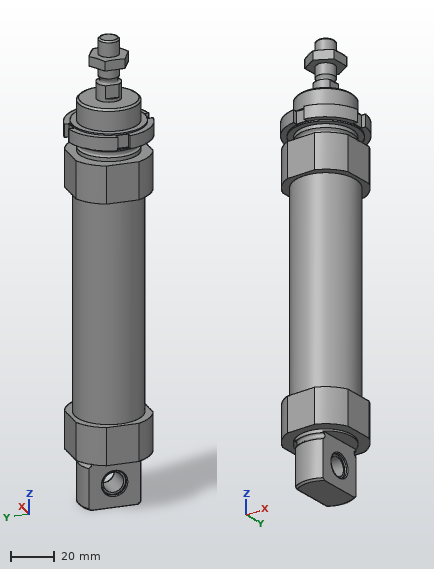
import cadquery as cq
import math


total_height = 231.5
tang_length = 26.0
cap_height = 19.0
barrel_length = 111.5
neck_length = 26.0
rod_exposed = total_height - tang_length - 2 * cap_height - barrel_length - neck_length

lower_cap_bottom = tang_length
barrel_bottom = lower_cap_bottom + cap_height
upper_cap_bottom = barrel_bottom + barrel_length
neck_bottom = upper_cap_bottom + cap_height
neck_top = neck_bottom + neck_length

barrel_diameter = 33.6
cap_across_flats = 38.0
cap_corner_diameter = 41.2

neck_diameter = 30.0
neck_end_diameter = 28.0
relief_diameter = 27.7
relief_slope = 45.0
relief_start = 1.9
relief_end = 5.0
neck_chamfer = (neck_diameter - neck_end_diameter) / 2
relief_fillet = 0.8

tang_thickness = 16.0
tang_flat_length = 25.0
pin_hole_diameter = 10.0
pin_hole_height = 12.0
pin_mouth_diameter = 13.0
pin_recess_diameter = 12.0
pin_recess_depth = 1.5

rod_diameter = 12.0
rod_flats_across = 10.0
rod_flats_height = 6.5
rod_shank_length = 8.1
stud_diameter = 10.0
stud_end_diameter = 8.4
stud_chamfer = (stud_diameter - stud_end_diameter) / 2
stud_relief_diameter = 8.4
stud_relief_slope = 25.0
stud_relief_length = 3.15
stud_relief_fillet = 0.6

hex_across_flats = 17.0
hex_height = 5.0
hex_bevel_angle = 12.0
stud_above_hex = 8.0
hex_bottom = total_height - stud_above_hex - hex_height
hex_across_corners = hex_across_flats / math.cos(math.pi / 6)

ring_diameter = 42.0
ring_hub_diameter = 36.0
ring_height = 8.0
neck_above_ring = 11.0
ring_bottom = neck_top - neck_above_ring - ring_height
ring_step = 0.7
slot_width = 6.0
slot_floor_radius = 18.5
slot_count = 4
slot_pitch_angle = 360 / slot_count


def revolve_profile(points):
    """Revolve a closed (radius, height) outline about the Z axis."""
    return cq.Workplane("XZ").polyline(points).close().revolve(360, (0, 0, 0), (0, 1, 0))


def make_relief(outer_diameter, floor_diameter, length, fillet, slope_angle):
    """Ring to cut away for a thread relief: square filleted shoulder at Z = 0, sloped filleted run-out."""
    slope = math.radians(slope_angle)
    outer = outer_diameter / 2
    floor = floor_diameter / 2
    slope_rise = fillet * (1 - math.cos(slope))
    slope_run = fillet * math.sin(slope)
    floor_end = length - (outer - floor - slope_rise) / math.tan(slope) - slope_run
    corner_offset = fillet * (1 - math.cos(math.pi / 4))
    return (
        cq.Workplane("XZ")
        .moveTo(outer, 0)
        .lineTo(floor + fillet, 0)
        .threePointArc((floor + corner_offset, corner_offset), (floor, fillet))
        .lineTo(floor, floor_end)
        .threePointArc(
            (floor + fillet * (1 - math.cos(slope / 2)), floor_end + fillet * math.sin(slope / 2)),
            (floor + slope_rise, floor_end + slope_run),
        )
        .lineTo(outer, length)
        .close()
        .revolve(360, (0, 0, 0), (0, 1, 0))
    )


def make_neck(length):
    """Threaded neck standing on Z = 0, with a relief groove at its foot and a chamfered end."""
    neck = cq.Workplane("XY").circle(neck_diameter / 2).extrude(length).faces(">Z").chamfer(neck_chamfer)
    relief_length = relief_end - relief_start
    relief = make_relief(neck_diameter, relief_diameter, relief_length, relief_fillet, relief_slope)
    return neck.cut(relief.translate((0, 0, relief_start)))


def make_cap(bottom):
    """Square cap with its corners turned round."""
    square = cq.Workplane("XY").rect(cap_across_flats, cap_across_flats).extrude(cap_height)
    turned = cq.Workplane("XY").circle(cap_corner_diameter / 2).extrude(cap_height)
    return square.intersect(turned).translate((0, 0, bottom))


def make_tang():
    """Lower neck with two flats and a cross hole along X that is recessed at both mouths."""
    tang = make_neck(tang_length).rotate((0, 0, 0), (1, 0, 0), 180).translate((0, 0, tang_length))
    for side in (-1, 1):
        waste = cq.Workplane("XY").box(neck_diameter, neck_diameter, tang_flat_length, (True, True, False))
        tang = tang.cut(waste.translate((side * (tang_thickness + neck_diameter) / 2, 0, 0)))
    hole = cq.Workplane("YZ").center(0, pin_hole_height)
    tang = tang.cut(hole.circle(pin_hole_diameter / 2).extrude(tang_thickness, both=True))
    face = tang_thickness / 2
    recess_radius = pin_recess_diameter / 2
    recess_chamfer = (pin_mouth_diameter - pin_recess_diameter) / 2
    recess_outline = [
        (face - pin_recess_depth, 0),
        (face - pin_recess_depth, recess_radius),
        (face - recess_chamfer, recess_radius),
        (face, pin_mouth_diameter / 2),
        (face, 0),
    ]
    recess = cq.Workplane("XY").polyline(recess_outline).close().revolve(360, (0, 0, 0), (1, 0, 0))
    for side_recess in (recess, recess.mirror("YZ")):
        tang = tang.cut(side_recess.translate((0, 0, pin_hole_height)))
    return tang


def make_housing():
    """Tang, two caps, barrel and upper neck as one body."""
    barrel = cq.Workplane("XY").circle(barrel_diameter / 2).extrude(barrel_length)
    barrel = barrel.translate((0, 0, barrel_bottom))
    housing = make_tang().union(make_cap(lower_cap_bottom)).union(barrel)
    housing = housing.union(make_cap(upper_cap_bottom))
    return housing.union(make_neck(neck_length).translate((0, 0, neck_bottom)))


def make_rod():
    """Piston rod with wrench flats across X and a threaded stud on top."""
    rod = cq.Workplane("XY").circle(rod_diameter / 2).extrude(rod_shank_length)
    stud = cq.Workplane("XY").circle(stud_diameter / 2).extrude(rod_exposed - rod_shank_length)
    stud = stud.faces(">Z").chamfer(stud_chamfer)
    relief = make_relief(
        stud_diameter, stud_relief_diameter, stud_relief_length, stud_relief_fillet, stud_relief_slope
    )
    stud = stud.cut(relief)
    rod = rod.union(stud.translate((0, 0, rod_shank_length)))
    for side in (-1, 1):
        waste = cq.Workplane("XY").box(rod_diameter, rod_diameter, rod_flats_height, (True, True, False))
        flat_offset = side * (rod_flats_across + rod_diameter) / 2
        rod = rod.cut(waste.translate((flat_offset, 0, rod_shank_length - rod_flats_height)))
    return rod.translate((0, 0, neck_top))


def make_hex_nut():
    """Hexagonal nut on the stud, with two flats facing X and the corners bevelled at the top."""
    face_radius = hex_across_flats / 2
    corner_radius = hex_across_corners / 2
    bevel = (corner_radius - face_radius) * math.tan(math.radians(hex_bevel_angle))
    prism = cq.Workplane("XY").polygon(6, hex_across_corners).extrude(hex_height)
    prism = prism.rotate((0, 0, 0), (0, 0, 1), 30)
    turned = revolve_profile([
        (stud_diameter / 2, 0),
        (corner_radius, 0),
        (corner_radius, hex_height - bevel),
        (face_radius, hex_height),
        (stud_diameter / 2, hex_height),
    ])
    return prism.intersect(turned).translate((0, 0, hex_bottom))


def make_slotted_nut():
    """Round mounting nut with a raised hub on each face and slots for a hook wrench."""
    bore = neck_diameter / 2
    nut = revolve_profile([
        (bore, 0),
        (ring_hub_diameter / 2, 0),
        (ring_hub_diameter / 2, ring_step),
        (ring_diameter / 2, ring_step),
        (ring_diameter / 2, ring_height - ring_step),
        (ring_hub_diameter / 2, ring_height - ring_step),
        (ring_hub_diameter / 2, ring_height),
        (bore, ring_height),
    ])
    slot = cq.Workplane("XY").box(slot_floor_radius, slot_width, ring_height, (False, True, False))
    slot = slot.translate((slot_floor_radius, 0, 0))
    for index in range(slot_count):
        nut = nut.cut(slot.rotate((0, 0, 0), (0, 0, 1), index * slot_pitch_angle))
    return nut.translate((0, 0, ring_bottom))


housing = make_housing()
rod = make_rod()
hex_nut = make_hex_nut()
slotted_nut = make_slotted_nut()

result = cq.Compound.makeCompound([
    housing.val(),
    rod.val(),
    hex_nut.val(),
    slotted_nut.val(),
])